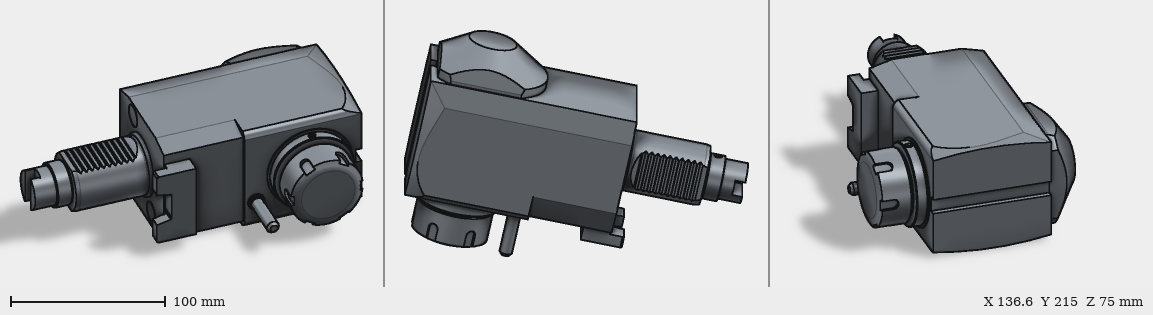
import cadquery as cq
import math


HALF_HEIGHT = 37.5
BACK_Y = 136.0
HALF_WIDTH = 39.0
NOSE_FACE_X = 41.6
STEP_Y = 55.0
BEVEL_WIDTH = 15.0
BEVEL_ANGLE = math.radians(15)
BEVEL_DROP = BEVEL_WIDTH * math.tan(BEVEL_ANGLE)
BEVEL_EDGE_Z = HALF_HEIGHT - BEVEL_DROP
NOSE_EDGE_WIDTH = 3.9
NOSE_EDGE_DROP = 4.5
NOSE_EDGE_BULGE = 0.8
BACK_SLOT_WIDTH = 10.0
BACK_SLOT_DEPTH = 4.0

RELIEF_DEPTH = 12.1
RELIEF_BACK_CREST_DROP = 0.8
RELIEF_EDGE_POINTS = [(-2.5, 5.4), (13.0, 3.0), (29.8, 6.6)]
RELIEF_OVERRUN = 1.5

RECESS_RADIUS = 7.5
RECESS_DEPTH = 0.3
RECESS_CENTERS = [(-16.1, 27.7), (16.1, -27.7)]

SPINDLE_Y = 100.0
COVER_END_X = -62.2
COVER_END_RADIUS = 15.75
COVER_RADIUS = 40.0
COVER_RIM_X = -45.1
COVER_BACK_Y = 131.5
COVER_FLAT_Z = 32.5
COVER_FLAT_X = -41.4

FLANGE_RADIUS = 21.5
FLANGE_THICKNESS = 2.4
FLANGE_ROUND = 1.0
SHANK_RADIUS = 20.0
SHANK_LEAD = 1.4
SHANK_LEAD_DROP = 0.4
SHANK_END_Y = -53.0
SHANK_CHAMFER_LENGTH = 2.8
SHANK_CHAMFER_DROP = 0.6
FLAT_Z = 15.9
FLAT_START_Y = -4.7
TOOTH_PITCH = 4.0
TOOTH_COUNT = 10
FIRST_TOOTH_Y = -11.5
TOOTH_DEPTH = 1.4
TOOTH_HALF_WIDTH = 1.8

COLLAR_RADIUS = 15.0
COLLAR_START_Y = -53.7
COLLAR_END_Y = -63.9
COLLAR_NECK_RADIUS = 14.3
COLLAR_CHAMFER = 0.4
DRIVE_RADIUS = 13.2
DRIVE_END_Y = -79.0
DRIVE_SLOT_WIDTH = 10.0
DRIVE_SLOT_DEPTH = 6.7

SCREW_RADIUS = 2.6
SCREW_SOCKET_RADIUS = 1.7
SCREW_CONE_DEPTH = 0.9
SCREW_SOCKET_DEPTH = 2.5
SHANK_SCREW_Y = -58.8

SHOULDER_RADIUS = 29.5
SHOULDER_END_X = 42.3
SPINDLE_COLLAR_RADIUS = 28.0
SPINDLE_COLLAR_END_X = 50.0
SPINDLE_COLLAR_CHAMFER = 0.6
SPINDLE_SCREW_X = 46.0
NECK_RADIUS = 21.5
NUT_RADIUS = 25.0
NUT_START_X = 51.9
NUT_CHAMFER = 0.8
NUT_ROUND_START_X = 72.3
NUT_ROUND_MIDDLE = (73.6, 22.5)
NUT_END_X = 74.4
NUT_END_RADIUS = 18.5
NUT_SLOT_COUNT = 6
NUT_SLOT_RADIUS = 3.4
NUT_SLOT_START_X = 61.4
NUT_SLOT_DEPTH = 2.0

PIN_Y = 62.8
PIN_Z = -17.8
PIN_RADIUS = 4.2
PIN_NECK_RADIUS = 4.4
PIN_NECK_END_X = 44.4
PIN_COLLAR_RADIUS = 5.6
PIN_COLLAR_END_X = 43.0
PIN_TAPER_START_X = 72.0
PIN_END_X = 74.0
PIN_END_RADIUS = 2.5

FORK_X = 50.6
FORK_BACK_Y = 18.0
FORK_FRONT_Y = 0.4
FORK_HALF_HEIGHT = 26.2
FORK_WEB_HALF_HEIGHT = 9.1
FORK_WEB_Y = 1.2
ARM_X = 43.0
ARM_TIP_Y = -9.2
ARM_INNER_BASE_Z = 9.9
ARM_INNER_TIP_Z = 11.9
ARM_CHAMFER = 1.1

OVERLAP = 1.0


def box(x_range, y_range, z_range):
    """Box between the given limits."""
    sizes = [high - low for low, high in (x_range, y_range, z_range)]
    return cq.Workplane("XY").box(*sizes, centered=False).translate((x_range[0], y_range[0], z_range[0]))


def turned_about_y(points):
    """Solid of revolution about the Y axis from (radius, y) points."""
    return cq.Workplane("XY").polyline(points).close().revolve(360, (0, 0), (0, 1))


def on_both_sides(solid):
    """The solid joined with its mirror image below Z = 0."""
    return solid.union(solid.mirror("XY"))


def beveled_block(points, y_front, y_back):
    """Prism along Y whose XZ outline is the given upper half and its mirror image."""
    lower = [(x, -z) for x, z in reversed(points)]
    outline = cq.Workplane("XZ", origin=(0, y_back, 0)).polyline(points + lower).close()
    return outline.extrude(y_back - y_front)


def back_relief():
    """Cutter for the upper back edge, bounded by a ruled surface from a back arc to a top curve."""
    left_x = -HALF_WIDTH
    right_x = NOSE_FACE_X + RELIEF_OVERRUN
    top_right_x = NOSE_FACE_X - NOSE_EDGE_WIDTH + RELIEF_OVERRUN
    right_z = HALF_HEIGHT - NOSE_EDGE_DROP
    arc_left = cq.Vector(left_x, BACK_Y, BEVEL_EDGE_Z)
    arc_middle = cq.Vector((left_x + NOSE_FACE_X) / 2, BACK_Y, HALF_HEIGHT - RELIEF_BACK_CREST_DROP)
    arc_right = cq.Vector(right_x, BACK_Y, right_z)
    curve_left = cq.Vector(left_x + BEVEL_WIDTH, BACK_Y - RELIEF_DEPTH, HALF_HEIGHT)
    curve_middle = [cq.Vector(x, BACK_Y - depth, HALF_HEIGHT) for x, depth in RELIEF_EDGE_POINTS]
    curve_right = cq.Vector(top_right_x, BACK_Y - RELIEF_DEPTH - RELIEF_OVERRUN, HALF_HEIGHT)
    corner_left = cq.Vector(left_x, BACK_Y, HALF_HEIGHT)
    corner_right = cq.Vector(right_x, BACK_Y, HALF_HEIGHT)

    arc = cq.Edge.makeThreePointArc(arc_left, arc_middle, arc_right)
    curve = cq.Edge.makeSpline([curve_left, *curve_middle, curve_right])
    spine = cq.Edge.makeLine(corner_left, corner_right)

    def flat_face(edge, start, end):
        sides = [cq.Edge.makeLine(corner_left, start), cq.Edge.makeLine(corner_right, end)]
        return cq.Face.makeFromWires(cq.Wire.assembleEdges([spine, sides[0], edge, sides[1]]))

    faces = [
        cq.Face.makeRuledSurface(arc, curve),
        flat_face(arc, arc_left, arc_right),
        flat_face(curve, curve_left, curve_right),
        cq.Face.makeFromWires(cq.Wire.makePolygon([arc_left, corner_left, curve_left], close=True)),
        cq.Face.makeFromWires(cq.Wire.makePolygon([arc_right, corner_right, curve_right], close=True)),
    ]
    return cq.Workplane(cq.Solid.makeSolid(cq.Shell.makeShell(faces)).fix())


def back_outline(left_bevel):
    """XZ outline of the wide back part, with rounded edges beside the spindle nose."""
    edge_x = NOSE_FACE_X - NOSE_EDGE_WIDTH
    edge_z = HALF_HEIGHT - NOSE_EDGE_DROP
    round_x = NOSE_FACE_X - NOSE_EDGE_WIDTH / 2 + NOSE_EDGE_BULGE / math.sqrt(2)
    round_z = HALF_HEIGHT - NOSE_EDGE_DROP / 2 + NOSE_EDGE_BULGE / math.sqrt(2)
    lower_left, upper_left = left_bevel
    return (
        cq.Workplane("XZ", origin=(0, BACK_Y, 0))
        .polyline([(lower_left[0], -lower_left[1]), lower_left, upper_left, (edge_x, HALF_HEIGHT)])
        .threePointArc((round_x, round_z), (NOSE_FACE_X, edge_z))
        .lineTo(NOSE_FACE_X, -edge_z)
        .threePointArc((round_x, -round_z), (edge_x, -HALF_HEIGHT))
        .lineTo(upper_left[0], -HALF_HEIGHT)
        .close()
    )


def housing():
    """Beveled block, wider at the back where the spindle comes out."""
    left_bevel = [(-HALF_WIDTH, BEVEL_EDGE_Z), (-HALF_WIDTH + BEVEL_WIDTH, HALF_HEIGHT)]
    right_bevel = [(HALF_WIDTH - BEVEL_WIDTH, HALF_HEIGHT), (HALF_WIDTH, BEVEL_EDGE_Z)]
    front = beveled_block(left_bevel + right_bevel, 0, STEP_Y)
    back = back_outline(left_bevel).extrude(BACK_Y - STEP_Y)
    back = back.cut(back_relief()).cut(back_relief().mirror("XY"))
    half_slot = BACK_SLOT_WIDTH / 2
    slot = box(
        (-HALF_WIDTH, NOSE_FACE_X), (BACK_Y - BACK_SLOT_DEPTH, BACK_Y), (-half_slot, half_slot)
    )
    recesses = cq.Workplane("XZ").pushPoints(RECESS_CENTERS).circle(RECESS_RADIUS).extrude(-RECESS_DEPTH)
    return front.union(back).cut(slot).cut(recesses)


def cover():
    """Cone-ended disc trimmed flat at the back and beveled above and below."""
    base_x = -HALF_WIDTH + OVERLAP
    dome = (
        cq.Workplane("XY")
        .polyline(
            [
                (COVER_END_X, SPINDLE_Y),
                (COVER_END_X, SPINDLE_Y + COVER_END_RADIUS),
                (COVER_RIM_X, SPINDLE_Y + COVER_RADIUS),
                (base_x, SPINDLE_Y + COVER_RADIUS),
                (base_x, SPINDLE_Y),
            ]
        )
        .close()
        .revolve(360, (0, SPINDLE_Y), (1, SPINDLE_Y))
    )
    end_z = COVER_FLAT_Z - (COVER_FLAT_X - COVER_END_X) * math.tan(BEVEL_ANGLE)
    upper = [(COVER_END_X, end_z), (COVER_FLAT_X, COVER_FLAT_Z), (base_x, COVER_FLAT_Z)]
    return dome.intersect(beveled_block(upper, SPINDLE_Y - COVER_RADIUS, COVER_BACK_Y))


def flange():
    """Rounded ring between the housing and the shank."""
    ring = cq.Workplane("XZ", origin=(0, OVERLAP, 0)).circle(FLANGE_RADIUS)
    return ring.extrude(FLANGE_THICKNESS + OVERLAP).faces("<Y").edges().fillet(FLANGE_ROUND)


def rack_cutter():
    """Cutter for the upper toothed flat: a ramp, a flat and a row of V grooves."""
    floor_start_y = FLAT_START_Y - (SHANK_RADIUS - FLAT_Z)
    points = [(FLAT_START_Y + OVERLAP, SHANK_RADIUS + OVERLAP), (floor_start_y, FLAT_Z)]
    for index in range(TOOTH_COUNT):
        valley_y = FIRST_TOOTH_Y - index * TOOTH_PITCH
        points.append((valley_y + TOOTH_HALF_WIDTH, FLAT_Z))
        points.append((valley_y, FLAT_Z - TOOTH_DEPTH))
        points.append((valley_y - TOOTH_HALF_WIDTH, FLAT_Z))
    points.append((SHANK_END_Y - OVERLAP, FLAT_Z))
    points.append((SHANK_END_Y - OVERLAP, SHANK_RADIUS + OVERLAP))
    return cq.Workplane("YZ").polyline(points).close().extrude(SHANK_RADIUS, both=True)


def shank():
    """Round shank with a toothed flat above and below."""
    lead_y = -FLANGE_THICKNESS
    body = turned_about_y(
        [
            (0, OVERLAP),
            (SHANK_RADIUS - SHANK_LEAD_DROP, OVERLAP),
            (SHANK_RADIUS - SHANK_LEAD_DROP, lead_y),
            (SHANK_RADIUS, lead_y - SHANK_LEAD),
            (SHANK_RADIUS, SHANK_END_Y + SHANK_CHAMFER_LENGTH),
            (SHANK_RADIUS - SHANK_CHAMFER_DROP, SHANK_END_Y),
            (0, SHANK_END_Y),
        ]
    )
    return body.cut(on_both_sides(rack_cutter()))


def set_screw_socket():
    """Conical mouth and round socket sunk below Z = 0."""
    points = [
        (0, OVERLAP),
        (SCREW_RADIUS, OVERLAP),
        (SCREW_RADIUS, 0),
        (SCREW_SOCKET_RADIUS, -SCREW_CONE_DEPTH),
        (SCREW_SOCKET_RADIUS, -SCREW_SOCKET_DEPTH),
        (0, -SCREW_SOCKET_DEPTH),
    ]
    return cq.Workplane("XZ").polyline(points).close().revolve(360, (0, 0), (0, 1))


def drive_end():
    """Collar with a set screw and the slotted drive tip."""
    body = turned_about_y(
        [
            (0, SHANK_END_Y + OVERLAP),
            (COLLAR_NECK_RADIUS, SHANK_END_Y + OVERLAP),
            (COLLAR_NECK_RADIUS, COLLAR_START_Y),
            (COLLAR_RADIUS - COLLAR_CHAMFER, COLLAR_START_Y),
            (COLLAR_RADIUS, COLLAR_START_Y - COLLAR_CHAMFER),
            (COLLAR_RADIUS, COLLAR_END_Y + COLLAR_CHAMFER),
            (COLLAR_RADIUS - COLLAR_CHAMFER, COLLAR_END_Y),
            (DRIVE_RADIUS, COLLAR_END_Y),
            (DRIVE_RADIUS, DRIVE_END_Y),
            (0, DRIVE_END_Y),
        ]
    )
    half_slot = DRIVE_SLOT_WIDTH / 2
    slot = box(
        (-half_slot, half_slot),
        (DRIVE_END_Y, DRIVE_END_Y + DRIVE_SLOT_DEPTH),
        (-DRIVE_RADIUS, DRIVE_RADIUS),
    )
    socket = set_screw_socket().rotate((0, 0, 0), (0, 1, 0), -90)
    return body.cut(slot).cut(socket.translate((-COLLAR_RADIUS, SHANK_SCREW_Y, 0)))


def nut_slots():
    """Cutters for round-ended slots spaced evenly around the nut, starting at the -Y side."""
    floor_y = SPINDLE_Y - NUT_RADIUS + NUT_SLOT_DEPTH
    center_x = NUT_SLOT_START_X + NUT_SLOT_RADIUS
    plane = cq.Workplane("XZ", origin=(0, floor_y, 0))
    slot = plane.center(center_x, 0).circle(NUT_SLOT_RADIUS).extrude(NUT_SLOT_DEPTH + OVERLAP)
    slot = slot.union(
        box(
            (center_x, NUT_END_X + OVERLAP),
            (floor_y - NUT_SLOT_DEPTH - OVERLAP, floor_y),
            (-NUT_SLOT_RADIUS, NUT_SLOT_RADIUS),
        )
    )
    slots = cq.Workplane("XY")
    for index in range(NUT_SLOT_COUNT):
        angle = index * 360 / NUT_SLOT_COUNT
        slots = slots.add(slot.rotate((0, SPINDLE_Y, 0), (1, SPINDLE_Y, 0), angle))
    return slots.combine()


def spindle_nose():
    """Shoulder, collar, neck and slotted clamping nut, all turned about the spindle axis."""
    collar_edge = SPINDLE_COLLAR_RADIUS - SPINDLE_COLLAR_CHAMFER
    start_x = NOSE_FACE_X - OVERLAP
    profile = (
        cq.Workplane("XY", origin=(0, SPINDLE_Y, 0))
        .moveTo(start_x, 0)
        .lineTo(start_x, SHOULDER_RADIUS)
        .lineTo(SHOULDER_END_X, SHOULDER_RADIUS)
        .lineTo(SHOULDER_END_X, collar_edge)
        .lineTo(SHOULDER_END_X + SPINDLE_COLLAR_CHAMFER, SPINDLE_COLLAR_RADIUS)
        .lineTo(SPINDLE_COLLAR_END_X - SPINDLE_COLLAR_CHAMFER, SPINDLE_COLLAR_RADIUS)
        .lineTo(SPINDLE_COLLAR_END_X, collar_edge)
        .lineTo(SPINDLE_COLLAR_END_X, NECK_RADIUS)
        .lineTo(NUT_START_X, NECK_RADIUS)
        .lineTo(NUT_START_X, NUT_RADIUS - NUT_CHAMFER)
        .lineTo(NUT_START_X + NUT_CHAMFER, NUT_RADIUS)
        .lineTo(NUT_ROUND_START_X, NUT_RADIUS)
        .threePointArc(NUT_ROUND_MIDDLE, (NUT_END_X, NUT_END_RADIUS))
        .lineTo(NUT_END_X, 0)
        .close()
    )
    nose = profile.revolve(360, (0, 0), (1, 0)).cut(nut_slots())
    return nose.cut(set_screw_socket().translate((SPINDLE_SCREW_X, SPINDLE_Y, SPINDLE_COLLAR_RADIUS)))


def locating_pin():
    """Round pin with a small collar and a tapered tip."""
    start_x = NOSE_FACE_X - OVERLAP
    return (
        cq.Workplane("XY", origin=(0, PIN_Y, PIN_Z))
        .polyline(
            [
                (start_x, 0),
                (start_x, PIN_COLLAR_RADIUS),
                (PIN_COLLAR_END_X, PIN_COLLAR_RADIUS),
                (PIN_COLLAR_END_X, PIN_NECK_RADIUS),
                (PIN_NECK_END_X, PIN_NECK_RADIUS),
                (PIN_NECK_END_X, PIN_RADIUS),
                (PIN_TAPER_START_X, PIN_RADIUS),
                (PIN_END_X, PIN_END_RADIUS),
                (PIN_END_X, 0),
            ]
        )
        .close()
        .revolve(360, (0, 0), (1, 0))
    )


def locating_fork():
    """Block with two arms, tapered on their inner sides, reaching forward past the front face."""
    base_x = HALF_WIDTH - OVERLAP
    web = box(
        (base_x, FORK_X), (FORK_WEB_Y, FORK_BACK_Y), (-FORK_WEB_HALF_HEIGHT, FORK_WEB_HALF_HEIGHT)
    )
    root = box(
        (base_x, FORK_X), (FORK_FRONT_Y, FORK_BACK_Y), (FORK_WEB_HALF_HEIGHT, FORK_HALF_HEIGHT)
    )
    arm_outline = [
        (FORK_BACK_Y, ARM_INNER_BASE_Z),
        (FORK_FRONT_Y, ARM_INNER_BASE_Z),
        (ARM_TIP_Y, ARM_INNER_TIP_Z),
        (ARM_TIP_Y, FORK_HALF_HEIGHT - ARM_CHAMFER),
        (ARM_TIP_Y + ARM_CHAMFER, FORK_HALF_HEIGHT),
        (FORK_BACK_Y, FORK_HALF_HEIGHT),
    ]
    arm = cq.Workplane("YZ", origin=(ARM_X, 0, 0)).polyline(arm_outline).close().extrude(FORK_X - ARM_X)
    return web.union(on_both_sides(root.union(arm)))


result = housing()
for feature in (
    cover(),
    flange(),
    shank(),
    drive_end(),
    spindle_nose(),
    locating_pin(),
    locating_fork(),
):
    result = result.union(feature)